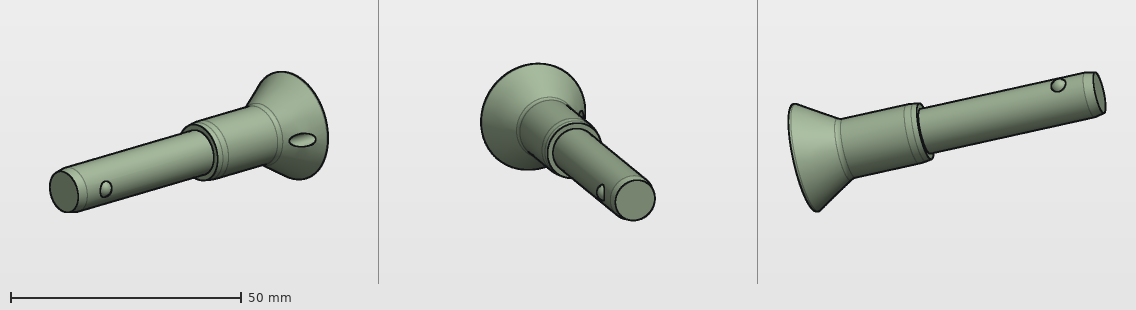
import math

import cadquery as cq

overall_length = 67.1

shank_radius = 5.0
tip_radius = 4.55
tip_taper_length = 2.2

sleeve_start = 39.6
sleeve_nose_radius = 6.25
nose_cone_length = 1.3
nose_cone_radius = 6.45
nose_rounding_length = 1.55
sleeve_radius = 6.6

flare_angle = math.radians(31)
flare_blend_radius = 2.35
rim_radius = 12.0
rim_rounding = 0.4

ball_radius = 1.9
ball_reach = 6.005
ball_position = 7.8

lanyard_hole_radius = 1.51
lanyard_hole_offset = 9.2


def tangent_arc_midpoint(tangent_point, end):
    """Midpoint of an arc that leaves tangent_point parallel to Y and stops at end."""
    dx = end[0] - tangent_point[0]
    dy = end[1] - tangent_point[1]
    chord_angle = math.atan(dx / dy)
    radius = math.hypot(dx, dy) / (2 * math.sin(chord_angle))
    direction = math.copysign(1, dy)
    return (
        tangent_point[0] + direction * radius * (1 - math.cos(chord_angle)),
        tangent_point[1] + direction * radius * math.sin(chord_angle),
    )


def make_body():
    """Revolve the stepped shank, sleeve and flared handle about the Y axis."""
    rim_center_x = rim_radius - rim_rounding
    rim_center_y = overall_length - rim_rounding
    flare_end = (
        rim_center_x + rim_rounding * math.cos(flare_angle),
        rim_center_y - rim_rounding * math.sin(flare_angle),
    )

    blend_end_x = sleeve_radius + flare_blend_radius * (1 - math.cos(flare_angle))
    blend_end_y = flare_end[1] - (flare_end[0] - blend_end_x) / math.tan(flare_angle)
    blend_end = (blend_end_x, blend_end_y)
    blend_start = (sleeve_radius, blend_end_y - flare_blend_radius * math.sin(flare_angle))

    nose_cone_end = (nose_cone_radius, sleeve_start + nose_cone_length)
    rounding_end = (sleeve_radius, nose_cone_end[1] + nose_rounding_length)

    profile = (
        cq.Workplane("XY")
        .lineTo(tip_radius, 0)
        .lineTo(shank_radius, tip_taper_length)
        .lineTo(shank_radius, sleeve_start)
        .lineTo(sleeve_nose_radius, sleeve_start)
        .lineTo(*nose_cone_end)
        .threePointArc(tangent_arc_midpoint(rounding_end, nose_cone_end), rounding_end)
        .lineTo(*blend_start)
        .threePointArc(tangent_arc_midpoint(blend_start, blend_end), blend_end)
        .lineTo(*flare_end)
        .threePointArc((rim_radius, rim_center_y), (rim_center_x, overall_length))
        .lineTo(0, overall_length)
        .close()
    )
    return profile.revolve(360, (0, 0, 0), (0, 1, 0))


def make_ball(side):
    """Locking ball protruding from the shank on the +X (1) or -X (-1) side."""
    center_x = side * (ball_reach - ball_radius)
    return cq.Workplane("XY").sphere(ball_radius).translate((center_x, ball_position, 0))


def make_lanyard_hole():
    """Cutter through the flared handle, parallel to the pin axis and clear of the sleeve."""
    return (
        cq.Workplane("XZ", origin=(lanyard_hole_offset, overall_length, 0))
        .circle(lanyard_hole_radius)
        .extrude(overall_length - sleeve_start)
    )


result = make_body().cut(make_lanyard_hole())
for side in (-1, 1):
    result = result.union(make_ball(side))